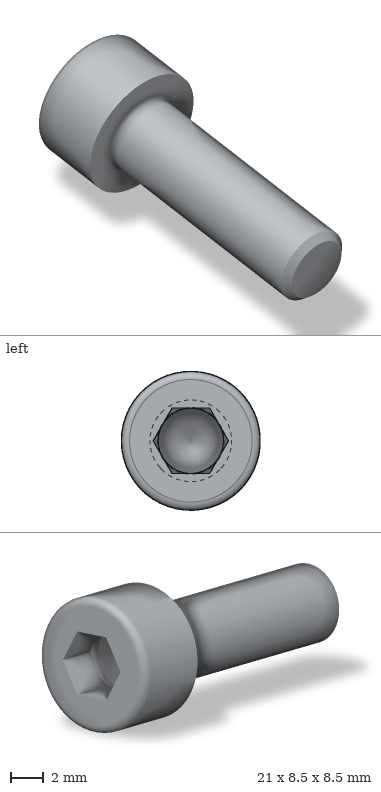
import cadquery as cq
import math

total_length = 21.0
head_diameter = 8.5
head_height = 5.0
head_rim_radius = 0.5
shank_diameter = 5.0
neck_fillet_radius = 0.2
tip_chamfer = 0.46

socket_across_flats = 4.0
socket_depth = 2.5
socket_bore_length = 0.5
socket_cone_angle = 120.0

head_face_x = -total_length / 2
head_underside_x = head_face_x + head_height
head_face_plane = cq.Workplane("YZ", origin=(head_face_x, 0, 0))


def make_head():
    head = head_face_plane.circle(head_diameter / 2).extrude(head_height)
    return head.faces("<X").edges().fillet(head_rim_radius)


def make_shank():
    shank_length = total_length - head_height
    shank = (
        cq.Workplane("YZ", origin=(head_underside_x, 0, 0))
        .circle(shank_diameter / 2)
        .extrude(shank_length)
    )
    return shank.faces(">X").edges().chamfer(tip_chamfer)


def make_neck_fillet():
    """Ring with a concave quarter-round profile, joining shank and head."""
    shank_radius = shank_diameter / 2
    fillet_outer_radius = shank_radius + neck_fillet_radius
    fillet_end_x = head_underside_x + neck_fillet_radius
    arc_offset = neck_fillet_radius * (1 - math.sqrt(0.5))
    return (
        cq.Workplane("XY")
        .moveTo(head_underside_x, 0)
        .lineTo(head_underside_x, fillet_outer_radius)
        .threePointArc(
            (head_underside_x + arc_offset, shank_radius + arc_offset),
            (fillet_end_x, shank_radius),
        )
        .lineTo(fillet_end_x, 0)
        .close()
        .revolve(360, (0, 0, 0), (1, 0, 0))
    )


def make_socket():
    across_corners = socket_across_flats / math.cos(math.radians(30))
    hexagon = head_face_plane.polygon(6, across_corners).extrude(socket_depth)
    bore_depth = socket_depth + socket_bore_length
    bore = head_face_plane.circle(socket_across_flats / 2).extrude(bore_depth)
    cone_radius = socket_across_flats / 2
    cone_depth = cone_radius / math.tan(math.radians(socket_cone_angle / 2))
    cone = cq.Solid.makeCone(
        cone_radius,
        0,
        cone_depth,
        pnt=cq.Vector(head_face_x + bore_depth, 0, 0),
        dir=cq.Vector(1, 0, 0),
    )
    return hexagon.union(bore).union(cq.Workplane(cone))


result = make_head().union(make_shank()).union(make_neck_fillet()).cut(make_socket())